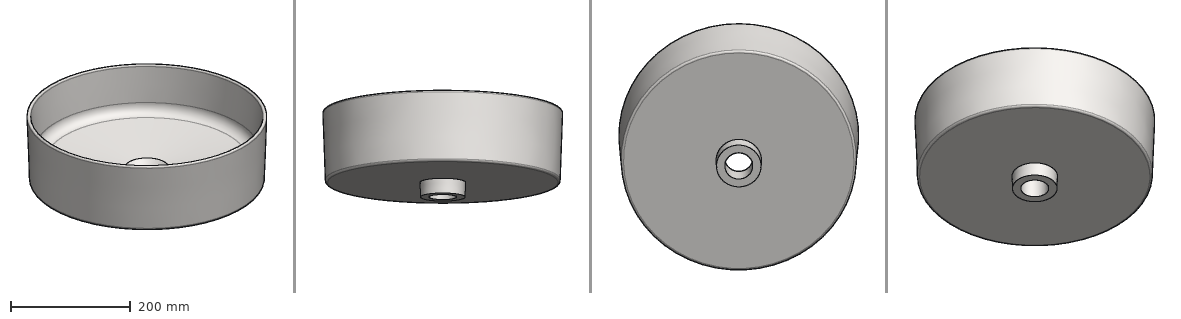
import cadquery as cq

rim_radius = 200.0
total_height = 145.0
drain_length = 25.0

base_radius = 196.0
rim_round = 3.0
base_round = 4.0

wall_foot_radius = 187.5
wall_foot_depth = 67.0
floor_radius = 169.5
floor_depth = 86.0
cove_mid_radius = 183.0
cove_mid_depth = 79.5

funnel_radius = 36.0
funnel_depth = 97.0
hole_radius = 23.0
hole_depth = 108.0
drain_top_radius = 38.0
drain_end_radius = 37.0

base_z = drain_length
rim_z = total_height

crest_radius = rim_radius - rim_round
mouth_radius = crest_radius - rim_round


def add_bowl(profile):
    """Trace the inside upward: hole, funnel, sloping floor, cove and wall."""
    return (
        profile.moveTo(hole_radius, 0)
        .lineTo(hole_radius, rim_z - hole_depth)
        .lineTo(funnel_radius, rim_z - funnel_depth)
        .lineTo(floor_radius, rim_z - floor_depth)
        .threePointArc(
            (cove_mid_radius, rim_z - cove_mid_depth),
            (wall_foot_radius, rim_z - wall_foot_depth),
        )
        .lineTo(mouth_radius, rim_z - rim_round)
    )


def add_rim(profile):
    """Trace the rounded rim from the inner wall to the outer wall."""
    return profile.radiusArc((crest_radius, rim_z), rim_round).radiusArc(
        (rim_radius, rim_z - rim_round), rim_round
    )


def add_outside(profile):
    """Trace the outside downward: wall, rounded base edge and tapered drain."""
    return (
        profile.lineTo(base_radius, base_z + base_round)
        .radiusArc((base_radius - base_round, base_z), base_round)
        .lineTo(drain_top_radius, base_z)
        .lineTo(drain_end_radius, 0)
    )


profile = add_outside(add_rim(add_bowl(cq.Workplane("XZ"))))
result = profile.close().revolve(360, (0, 0, 0), (0, 1, 0))